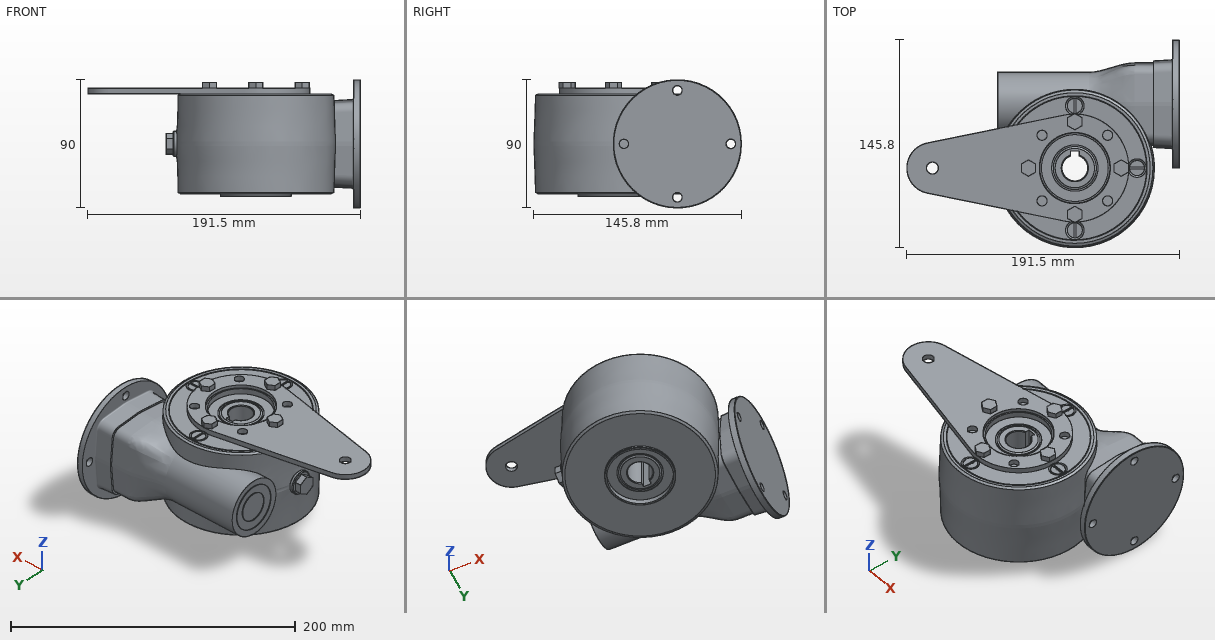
import cadquery as cq
import math


housing_half_height = 35.0
housing_end_radius = 54.8
housing_mid_radius = 56.0
parting_half_width = 1.5
rim_chamfer_width = 2.0
rim_chamfer_height = 1.0
cover_radius = 50.5
seam_width = 0.4
seam_depth = 0.4

boss_diameter = 50.0
boss_height = 2.0
boss_chamfer = 0.4
seal_diameter = 47.0
seal_face_height = 32.5
hub_groove_outer_diameter = 32.5
hub_groove_inner_diameter = 30.3
shaft_end_diameter = 27.5
hub_groove_depth = 0.5
bore_diameter = 18.0
bore_chamfer = 0.5
keyway_width = 6.0
keyway_top = 11.9

arm_thickness = 4.0
arm_length = 100.0
arm_hub_radius = 38.0
arm_tip_radius = 18.0
arm_tip_hole_diameter = 8.2
bolt_circle_radius = 32.5
arm_bolt_flats = 10.0
arm_bolt_head_height = 4.0
arm_hole_diameter = 7.0

screw_circle_radius = 43.7
screw_head_diameter = 10.5
screw_seat_diameter = 13.0
screw_seat_depth = 1.0
screw_slot_width = 1.3
screw_slot_depth = 1.0

plug_tip_x = -63.0
plug_washer_x = -58.0
plug_washer_diameter = 18.0
plug_washer_chamfer = 0.67
plug_flats = 12.6
plug_embedding = 2.0

worm_y = 44.8
worm_start_x = -54.2
worm_diameter = 45.0
cap_diameter = 35.0
cap_centre_diameter = 22.0
cap_step = 0.5

transition_start_x = 10.0
block_start_x = 42.1
neck_start_x = 55.2
flange_inner_x = 68.5
flange_outer_x = 73.5
block_half_width = 29.1
neck_start_half_width = 30.5
neck_end_half_width = 31.2
neck_fillet = 1.0
side_corner_offset = 20.9
side_draft = 0.09
ridge_half_width = 1.5
transition_steps = 4
flange_radius = 45.0
flange_edge_chamfer = 0.4
flange_hole_circle_radius = 37.5
flange_hole_diameter = 6.5
selection_margin = 0.02


def hexagon_diameter(flats):
    """Corner-to-corner size of a hexagon with the given width across flats."""
    return flats / math.cos(math.pi / 6)


def input_section(x, half_width, blend=1.0):
    """Closed wire across the input housing; blend 0 is the worm circle, 1 the drafted square."""
    corner = side_corner_offset * half_width / block_half_width
    side = half_width - side_draft * (corner - ridge_half_width)
    square = [(half_width, -ridge_half_width), (half_width, ridge_half_width), (side, corner), (corner, side)]
    tilt = math.atan(side_draft)
    corner_radius = (side - corner) / (math.cos(tilt) - math.sin(tilt))
    arc_middle = side - corner_radius * math.cos(tilt) + corner_radius * math.sqrt(0.5)
    face_middle = ((half_width + side) / 2, (ridge_half_width + corner) / 2)
    middles = [(half_width, 0), face_middle, (arc_middle, arc_middle), face_middle[::-1]]

    def blended(point, quarter):
        angle = math.atan2(point[1], point[0])
        across = (1 - blend) * worm_diameter / 2 * math.cos(angle) + blend * point[0]
        along = (1 - blend) * worm_diameter / 2 * math.sin(angle) + blend * point[1]
        turn = quarter * math.pi / 2
        y = across * math.cos(turn) - along * math.sin(turn)
        z = across * math.sin(turn) + along * math.cos(turn)
        return cq.Vector(x, worm_y + y, z)

    ends = [blended(p, quarter) for quarter in range(4) for p in square]
    mids = [blended(p, quarter) for quarter in range(4) for p in middles]
    edges = []
    for i, middle in enumerate(mids):
        start = ends[i]
        end = ends[(i + 1) % len(ends)]
        if blend == 1.0 and i % 4 != 2:
            edges.append(cq.Edge.makeLine(start, end))
        else:
            edges.append(cq.Edge.makeThreePointArc(start, middle, end))
    return cq.Wire.assembleEdges(edges)


def loft(sections, ruled=True):
    return cq.Workplane(cq.Solid.makeLoft(sections, ruled))


def x_cylinder(diameter, start_x, end_x, y=0.0):
    plane = cq.Workplane("YZ", origin=(start_x, y, 0))
    return plane.circle(diameter / 2).extrude(end_x - start_x)


def housing():
    """Drum drafted both ways from the parting band, with chamfered rims."""
    rim_radius = housing_end_radius - rim_chamfer_width
    shoulder_height = housing_half_height - rim_chamfer_height
    profile = (
        cq.Workplane("XZ")
        .moveTo(0, -housing_half_height)
        .lineTo(rim_radius, -housing_half_height)
        .lineTo(housing_end_radius, -shoulder_height)
        .lineTo(housing_mid_radius, -parting_half_width)
        .lineTo(housing_mid_radius, parting_half_width)
        .lineTo(housing_end_radius, shoulder_height)
        .lineTo(rim_radius, housing_half_height)
        .lineTo(0, housing_half_height)
        .close()
    )
    return profile.revolve(360, (0, 0, 0), (0, 1, 0))


def worm_housing():
    """Round worm tube that swells smoothly into the square input block."""
    tube = x_cylinder(worm_diameter, worm_start_x, transition_start_x, worm_y)
    steps = []
    for i in range(transition_steps + 1):
        t = i / transition_steps
        x = transition_start_x + t * (block_start_x - transition_start_x)
        steps.append(input_section(x, block_half_width, t * t * (3 - 2 * t)))
    block = loft([
        input_section(block_start_x, block_half_width),
        input_section(neck_start_x, block_half_width),
    ])
    return tube.union(loft(steps, ruled=False)).union(block)


def arm():
    """Torque arm: two circles joined by tangent lines, with its holes."""
    slope = (arm_hub_radius - arm_tip_radius) / arm_length
    rise = math.sqrt(1 - slope**2)
    plane = cq.Workplane("XY", origin=(0, 0, housing_half_height))
    outline = (
        plane.moveTo(-arm_hub_radius * slope, arm_hub_radius * rise)
        .threePointArc((arm_hub_radius, 0), (-arm_hub_radius * slope, -arm_hub_radius * rise))
        .lineTo(-arm_length - arm_tip_radius * slope, -arm_tip_radius * rise)
        .threePointArc(
            (-arm_length - arm_tip_radius, 0),
            (-arm_length - arm_tip_radius * slope, arm_tip_radius * rise),
        )
        .close()
    )
    plate = outline.extrude(arm_thickness)
    tip_hole = plane.center(-arm_length, 0).circle(arm_tip_hole_diameter / 2).extrude(arm_thickness)
    centre_hole = (
        cq.Workplane("XY", origin=(0, 0, housing_half_height))
        .circle(boss_diameter / 2)
        .extrude(arm_thickness)
    )
    bolt_holes = (
        cq.Workplane("XY", origin=(0, 0, housing_half_height))
        .polarArray(bolt_circle_radius, 45, 360, 4)
        .circle(arm_hole_diameter / 2)
        .extrude(arm_thickness)
    )
    return plate.cut(tip_hole).cut(centre_hole).cut(bolt_holes)


def arm_bolt(angle):
    """Hexagon bolt head on the torque arm, at the given angle in degrees."""
    x = bolt_circle_radius * math.cos(math.radians(angle))
    y = bolt_circle_radius * math.sin(math.radians(angle))
    plane = cq.Workplane("XY", origin=(x, y, housing_half_height + arm_thickness))
    hexagon = plane.transformed(rotate=(0, 0, 90)).polygon(6, hexagon_diameter(arm_bolt_flats))
    return hexagon.extrude(arm_bolt_head_height)


def bosses():
    length = housing_half_height + boss_height
    return cq.Workplane("XY").circle(boss_diameter / 2).extrude(length, both=True).edges().chamfer(boss_chamfer)


def side_plug():
    head = cq.Workplane("YZ", origin=(plug_tip_x, 0, 0)).transformed(rotate=(0, 0, 90))
    head = head.polygon(6, hexagon_diameter(plug_flats)).extrude(plug_washer_x - plug_tip_x)
    washer = x_cylinder(plug_washer_diameter, plug_washer_x, -housing_end_radius + plug_embedding)
    return head.union(washer.faces("<X").chamfer(plug_washer_chamfer))


def neck_and_flange():
    neck = loft([
        input_section(neck_start_x, neck_start_half_width),
        input_section(flange_inner_x, neck_end_half_width),
    ])
    flange = x_cylinder(2 * flange_radius, flange_inner_x, flange_outer_x, worm_y)
    flange = flange.faces(">X").chamfer(flange_edge_chamfer)
    reach = flange_radius - 2
    joint = cq.selectors.BoxSelector(
        (flange_inner_x - selection_margin, worm_y - reach, -reach),
        (flange_inner_x + selection_margin, worm_y + reach, reach),
        boundingbox=True,
    )
    joined = neck.union(flange).edges(joint).fillet(neck_fillet)
    for i in range(4):
        angle = i * math.pi / 2
        y = worm_y + flange_hole_circle_radius * math.cos(angle)
        z = flange_hole_circle_radius * math.sin(angle)
        hole = cq.Workplane("YZ", origin=(flange_inner_x, y, z)).circle(flange_hole_diameter / 2)
        joined = joined.cut(hole.extrude(flange_outer_x - flange_inner_x))
    return joined


def seal_recess():
    """Recess around the upper end of the hollow shaft, with the groove around the shaft end."""
    depth = housing_half_height + boss_height - seal_face_height
    recess = cq.Workplane("XY", origin=(0, 0, seal_face_height)).circle(seal_diameter / 2).extrude(depth)
    groove_floor = seal_face_height - hub_groove_depth
    groove = (
        cq.Workplane("XZ")
        .moveTo(shaft_end_diameter / 2, seal_face_height)
        .lineTo(hub_groove_outer_diameter / 2, seal_face_height)
        .lineTo(hub_groove_outer_diameter / 2, groove_floor)
        .lineTo(hub_groove_inner_diameter / 2, groove_floor)
        .close()
        .revolve(360, (0, 0, 0), (0, 1, 0))
    )
    return recess.union(groove)


def shaft_bore():
    """Keyed through bore with a chamfered mouth at both ends."""
    length = 2 * seal_face_height
    bore = cq.Workplane("XY", origin=(0, 0, -seal_face_height)).circle(bore_diameter / 2).extrude(length)
    mouth = cq.Workplane(cq.Solid.makeCone(
        bore_diameter / 2,
        bore_diameter / 2 + bore_chamfer,
        bore_chamfer,
        pnt=cq.Vector(0, 0, seal_face_height - bore_chamfer),
    ))
    keyway = cq.Workplane("XY").box(keyway_width, keyway_top, length, centered=(True, False, True))
    return bore.union(mouth).union(mouth.mirror("XY")).union(keyway)


def cover_seam():
    """Thin groove around the edge of the cover."""
    plane = cq.Workplane("XY", origin=(0, 0, housing_half_height))
    rings = plane.circle(cover_radius + seam_width / 2).circle(cover_radius - seam_width / 2)
    return rings.extrude(-seam_depth)


def cover_screw_cut(angle):
    """Countersunk ring around a flush screw head, and the slot across the head."""
    plane = cq.Workplane("XY", origin=(screw_circle_radius, 0, housing_half_height))
    seat = cq.Workplane(cq.Solid.makeCone(
        screw_head_diameter / 2,
        screw_seat_diameter / 2,
        screw_seat_depth,
        pnt=cq.Vector(screw_circle_radius, 0, housing_half_height - screw_seat_depth),
    ))
    head = plane.circle(screw_head_diameter / 2).extrude(-screw_seat_depth)
    slot = (
        cq.Workplane("XY", origin=(screw_circle_radius, 0, housing_half_height))
        .rect(screw_head_diameter, screw_slot_width)
        .extrude(-screw_slot_depth)
    )
    return seat.cut(head).union(slot).rotate((0, 0, 0), (0, 0, 1), angle)


def worm_end_cut():
    """Stepped bearing cap: a shallow recess and a deeper centre."""
    cap = x_cylinder(cap_diameter, worm_start_x, worm_start_x + cap_step, worm_y)
    return cap.union(x_cylinder(cap_centre_diameter, worm_start_x, worm_start_x + 2 * cap_step, worm_y))


body = housing().union(worm_housing()).union(bosses()).union(side_plug()).union(neck_and_flange())
body = body.cut(worm_end_cut())
body = body.cut(seal_recess()).cut(seal_recess().mirror("XY")).cut(shaft_bore())
body = body.cut(cover_seam())
for screw_angle in (0, 90, 270):
    body = body.cut(cover_screw_cut(screw_angle))

body = body.union(arm())
for bolt_angle in (0, 90, 180, 270):
    body = body.union(arm_bolt(bolt_angle))
result = body